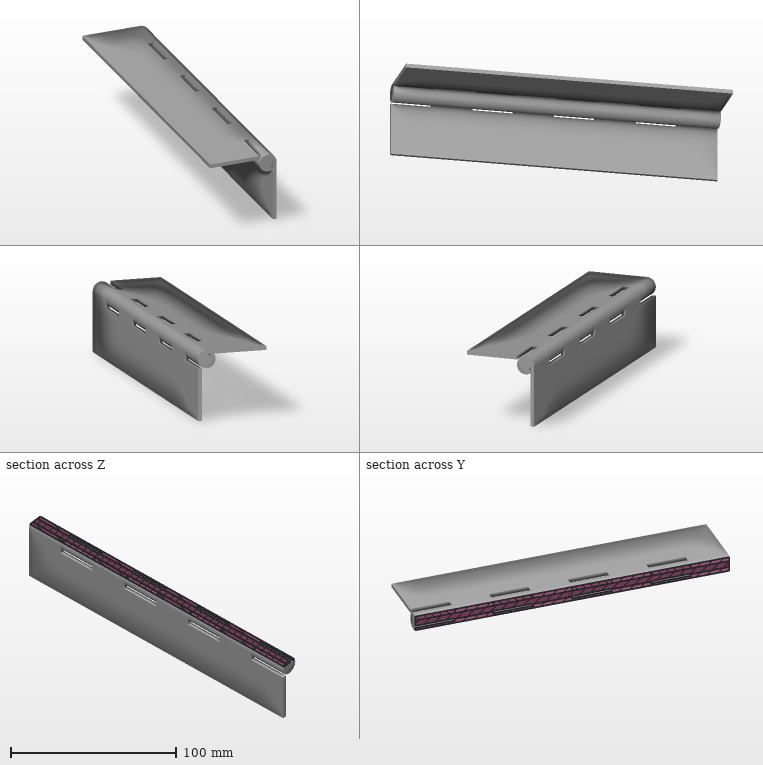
import cadquery as cq
import math

hinge_length = 203.2
outer_side = 43.5
pin_diameter = 6.3
sheet = 2.5
knuckle_count = 8
curl_end_angle = 40.0
seam_gap = 0.1

bore_radius = pin_diameter / 2
knuckle_radius = bore_radius + sheet
tip_height = bore_radius - seam_gap
leaf_reach = outer_side - knuckle_radius
knuckle_length = hinge_length / knuckle_count
hinge_start = -hinge_length / 2


def section_plane(x):
    """YZ plane at a position along the pin axis."""
    return cq.Workplane("YZ", origin=(x, 0, 0))


def on_circle(radius, angle):
    """Point at an angle above the -Y direction."""
    turn = math.radians(angle)
    return (-radius * math.cos(turn), radius * math.sin(turn))


def curled_knuckle(x):
    """Sheet tangent to the top of the bore, rolled around it to a tip trimmed flat just under the sheet."""
    tip_outer = (-math.sqrt(knuckle_radius**2 - tip_height**2), tip_height)
    tip_inner = (-tip_height / math.tan(math.radians(curl_end_angle)), tip_height)
    return (
        section_plane(x)
        .moveTo(-knuckle_radius, knuckle_radius)
        .lineTo(0, knuckle_radius)
        .threePointArc((0, -knuckle_radius), tip_outer)
        .lineTo(*tip_inner)
        .lineTo(*on_circle(bore_radius, curl_end_angle))
        .threePointArc((0, -bore_radius), (0, bore_radius))
        .lineTo(-knuckle_radius, bore_radius)
        .close()
        .extrude(knuckle_length)
    )


def make_leaf(first_knuckle):
    """Horizontal leaf with every second knuckle, notched clear of the other leaf's knuckles."""
    leaf = (
        section_plane(hinge_start)
        .moveTo(-leaf_reach, bore_radius)
        .lineTo(-knuckle_radius, bore_radius)
        .lineTo(-knuckle_radius, knuckle_radius)
        .lineTo(-leaf_reach, knuckle_radius)
        .close()
        .extrude(hinge_length)
    )
    for index in range(first_knuckle, knuckle_count, 2):
        leaf = leaf.union(curled_knuckle(hinge_start + index * knuckle_length))
    return leaf


def make_pin():
    """Plain pin, flush with both ends of the hinge."""
    return section_plane(hinge_start).circle(bore_radius).extrude(hinge_length)


top_leaf = make_leaf(first_knuckle=0)
hanging_leaf = make_leaf(first_knuckle=1).mirror(cq.Vector(0, 1, -1))
pin = make_pin()

result = cq.Compound.makeCompound([top_leaf.val(), hanging_leaf.val(), pin.val()])